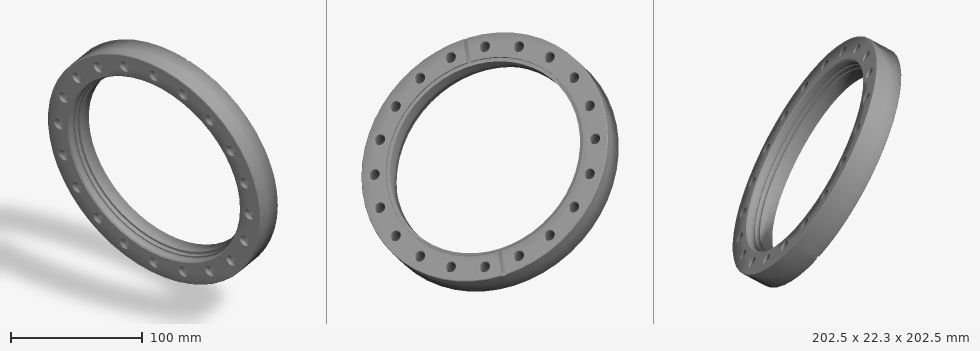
import cadquery as cq

flange_diameter = 202.5
flange_thickness = 22.3
flange_bore_diameter = 162.0
rim_chamfer = 0.5
bore_chamfer = 1.0

bolt_count = 20
bolt_circle_diameter = 181.0
bolt_hole_diameter = 8.3
bolt_hole_chamfer = 0.5

groove_width = 3.0
groove_depth = 1.2
groove_angles = [180 / bolt_count + half_turn for half_turn in (0, 180)]

insert_front_recess = 6.7
insert_back_recess = 1.2
insert_bore_diameter = 155.8
socket_diameter = 159.5
socket_depth = 3.5

front_y = -flange_thickness / 2
back_y = flange_thickness / 2
insert_front_y = front_y + insert_front_recess
insert_length = flange_thickness - insert_front_recess - insert_back_recess


def plane_at(y):
    """Sketch plane facing +Y, so that extrusions run towards +Y."""
    return cq.Workplane("XZ", origin=(0, y, 0)).workplane(invert=True)


def cylinder(diameter, start_y, length):
    return plane_at(start_y).circle(diameter / 2).extrude(length)


def radial_groove(angle):
    """Cutter running from the axis out past the rim, turned by angle from +Z towards +X."""
    return (
        plane_at(back_y - groove_depth)
        .rect(groove_width, flange_diameter)
        .extrude(groove_depth)
        .translate((0, 0, flange_diameter / 2))
        .rotate((0, 0, 0), (0, 1, 0), angle)
    )


def make_flange():
    """Ring with chamfered rims, a circle of bolt holes and two grooves in the +Y face."""
    ring = cylinder(flange_diameter, front_y, flange_thickness).edges().chamfer(rim_chamfer)
    bore = cylinder(flange_bore_diameter, front_y, flange_thickness)
    ring = ring.cut(bore)
    ring = ring.faces("<Y").edges(cq.selectors.RadiusNthSelector(0)).chamfer(bore_chamfer)
    holes = (
        plane_at(front_y)
        .polarArray(bolt_circle_diameter / 2, 0, 360, bolt_count)
        .circle(bolt_hole_diameter / 2)
        .extrude(flange_thickness)
    )
    ring = ring.cut(holes)
    hole_rims = ring.faces("<Y or >Y").edges(cq.selectors.RadiusNthSelector(0))
    ring = hole_rims.chamfer(bolt_hole_chamfer)
    for angle in groove_angles:
        ring = ring.cut(radial_groove(angle))
    return ring


def make_insert():
    """Sleeve with a shallow socket counterbored into its -Y end."""
    sleeve = cylinder(flange_bore_diameter, insert_front_y, insert_length)
    bore = cylinder(insert_bore_diameter, insert_front_y, insert_length)
    socket = cylinder(socket_diameter, insert_front_y, socket_depth)
    return sleeve.cut(bore).cut(socket)


flange = make_flange()
insert = make_insert()

result = cq.Compound.makeCompound([flange.val(), insert.val()])